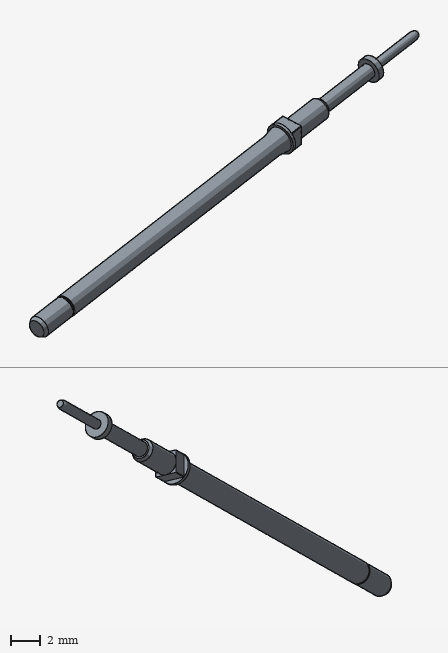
import cadquery as cq

total_length = 40.6
tip_end = total_length / 2
tail_end = -total_length / 2

tip_diameter = 0.7
tip_chamfer_length = 0.3
tip_chamfer_depth = 0.1
tip_length = 4.6
collar_diameter = 1.85
collar_length = 0.5
shaft_diameter = 1.1
shaft_length = 5.05

barrel_diameter = 1.65
nose_chamfer_length = 0.25
nose_chamfer_depth = 0.15
nose_length = 3.15

square_length = 1.0
flange_diameter = 2.3
flange_length = 0.25
cone_diameter = 1.95
cone_length = 0.85

tail_diameter = 1.62
tail_length = 2.95
groove_width = 0.12
groove_depth = 0.1
tail_chamfer_length = 0.3
tail_chamfer_depth = 0.15

collar_front = tip_end - tip_length
shaft_front = collar_front - collar_length
barrel_front = shaft_front - shaft_length
square_front = barrel_front - nose_length
flange_front = square_front - square_length
cone_front = flange_front - flange_length
cone_back = cone_front - cone_length
tail_front = tail_end + tail_length
barrel_back = tail_front + groove_width


def tapered_section(front, back, front_diameter, back_diameter):
    """Solid of revolution about Y between two stations."""
    return (
        cq.Workplane("XY")
        .moveTo(0, front)
        .lineTo(front_diameter / 2, front)
        .lineTo(back_diameter / 2, back)
        .lineTo(0, back)
        .close()
        .revolve(360, (0, 0, 0), (0, 1, 0))
    )


def round_section(front, back, diameter):
    """Plain cylinder about Y between two stations."""
    return tapered_section(front, back, diameter, diameter)


def make_plunger():
    chamfer_back = tip_end - tip_chamfer_length
    point_diameter = tip_diameter - 2 * tip_chamfer_depth
    point = tapered_section(tip_end, chamfer_back, point_diameter, tip_diameter)
    pin = round_section(chamfer_back, collar_front, tip_diameter)
    collar = round_section(collar_front, shaft_front, collar_diameter)
    shaft = round_section(shaft_front, barrel_front, shaft_diameter)
    return point.union(pin).union(collar).union(shaft)


def make_barrel():
    chamfer_back = barrel_front - nose_chamfer_length
    nose_diameter = barrel_diameter - 2 * nose_chamfer_depth
    nose = tapered_section(barrel_front, chamfer_back, nose_diameter, barrel_diameter)
    body = round_section(chamfer_back, barrel_back, barrel_diameter)
    return nose.union(body)


def make_square_drive():
    """Square as wide as the barrel, its corners rounded off to the flange diameter."""
    square = cq.Workplane("XY").box(barrel_diameter, square_length, barrel_diameter)
    square = square.translate((0, (square_front + flange_front) / 2, 0))
    return square.intersect(round_section(square_front, flange_front, flange_diameter))


def make_stop():
    flange = round_section(flange_front, cone_front, flange_diameter)
    cone = tapered_section(cone_front, cone_back, cone_diameter, barrel_diameter)
    return flange.union(cone)


def make_tail():
    groove_floor = round_section(barrel_back, tail_front, tail_diameter - 2 * groove_depth)
    chamfer_front = tail_end + tail_chamfer_length
    plug = round_section(tail_front, chamfer_front, tail_diameter)
    end_diameter = tail_diameter - 2 * tail_chamfer_depth
    end = tapered_section(chamfer_front, tail_end, tail_diameter, end_diameter)
    return groove_floor.union(plug).union(end)


result = (
    make_plunger()
    .union(make_barrel())
    .union(make_square_drive())
    .union(make_stop())
    .union(make_tail())
)